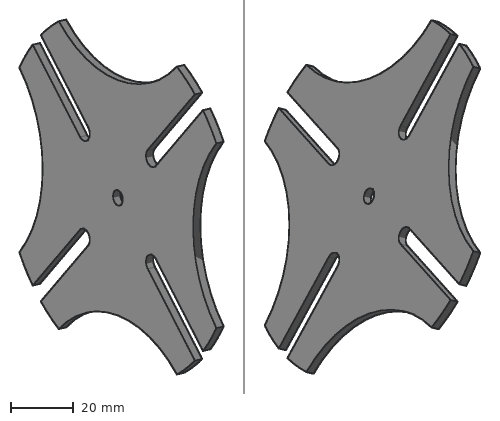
import cadquery as cq
import math

side = 103.0
thickness = 3.0
outer_radius = 60.0
waist = 39.3
hole_diameter = 5.0
slot_width = 6.0
slot_start = 25.0
arm_count = 4
arm_angle = 360 / arm_count
first_slot_angle = arm_angle / 2

half_side = side / 2
tip_offset = math.sqrt(outer_radius**2 - half_side**2)
scallop_depth = half_side - waist
scallop_radius = (tip_offset**2 + scallop_depth**2) / (2 * scallop_depth)
scallop_centre = waist + scallop_radius


def plate_cutter():
    """Start a sketch for a cutter that is extruded both ways through the plate."""
    return cq.Workplane("XZ")


def scallop(angle):
    """Round cutter that hollows one side of the plate."""
    cutter = plate_cutter().center(scallop_centre, 0).circle(scallop_radius)
    return cutter.extrude(thickness, both=True).rotate((0, 0, 0), (0, 1, 0), angle)


def slot(angle):
    """Round-ended radial cutter that runs out through the end of an arm."""
    length = outer_radius - slot_start + slot_width
    round_end = plate_cutter().center(slot_start, 0).circle(slot_width / 2).extrude(thickness, both=True)
    channel = plate_cutter().center(slot_start + length / 2, 0).rect(length, slot_width)
    cutter = round_end.union(channel.extrude(thickness, both=True))
    return cutter.rotate((0, 0, 0), (0, 1, 0), angle)


result = cq.Workplane("XZ").circle(outer_radius).circle(hole_diameter / 2)
result = result.extrude(thickness / 2, both=True)

for index in range(arm_count):
    side_angle = index * arm_angle
    result = result.cut(scallop(side_angle))
    result = result.cut(slot(side_angle + first_slot_angle))